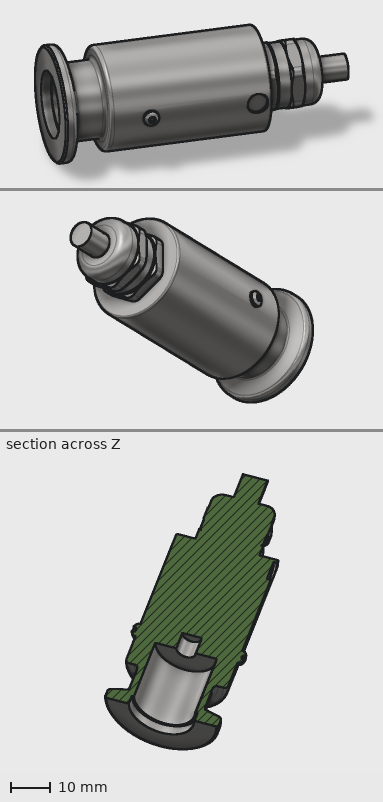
import cadquery as cq
import math


flange_diameter = 30.0
flange_edge_chamfer = 0.5
flange_rim_end = 3.0
flange_back_angle = 15.0
flange_back_fillet = 1.2
neck_root_fillet = 0.5
neck_diameter = 20.0

recess_diameter = 17.2
recess_depth = 2.6
bore_diameter = 16.1
bore_depth = 20.0
inner_hole_diameter = 5.0
inner_hole_depth = 5.0

body_front = 12.0
body_length = 42.0
body_diameter = 27.0
body_front_fillet = 1.0
body_neck_fillet = 1.0
body_rear_fillet = 0.5
body_rear = body_front + body_length

hex_sides = 6
hex_flats = 17.0
hex_corner_fillet = 2.5
hex_chamfer_angle = 30.0
base_hex_length = 3.0
ring_length = 3.5
ring_chamfer = 0.35
cap_hex_length = 3.5
cap_length = 5.2
cap_fillet = 2.9
gland_diameter = 16.7
ring_start = body_rear + base_hex_length
cap_hex_start = ring_start + ring_length
cap_start = cap_hex_start + cap_hex_length
cap_end = cap_start + cap_length

cable_diameter = 6.61
total_length = 76.7

screw_y = 22.5
screw_diameter = 4.0
screw_rim_x = 14.0
screw_tip_x = 14.8
screw_tip_diameter = 1.75
socket_mouth_diameter = 1.45
socket_diameter = 1.15
socket_depth = 0.6
socket_point_depth = 0.3
screw_root_x = 12.0

window_y = 50.3
window_diameter = 5.3
window_floor_x = 12.5


def cylinder(diameter, start, end):
    """Cylinder on the Y axis between two Y positions."""
    plane = cq.Workplane("XZ", origin=(0, start, 0))
    return plane.circle(diameter / 2).extrude(start - end)


def ring_edge(solid, y, radius):
    """Select the circular edge of a turned solid at one Y position and radius."""
    tolerance = 0.01

    def matches(edge):
        same_y = abs(edge.arcCenter().y - y) < tolerance
        same_radius = abs(edge.radius() - radius) < tolerance
        return same_y and same_radius

    return solid.edges("%CIRCLE").filter(matches)


def make_housing():
    """Flange, neck and body turned in one profile, with rounded and chamfered edges."""
    flange_radius = flange_diameter / 2
    neck_radius = neck_diameter / 2
    body_radius = body_diameter / 2
    back_rise = (flange_radius - neck_radius) * math.tan(math.radians(flange_back_angle))
    neck_start = flange_rim_end + back_rise
    housing = (
        cq.Workplane("XY")
        .moveTo(0, 0)
        .lineTo(flange_radius, 0)
        .lineTo(flange_radius, flange_rim_end)
        .lineTo(neck_radius, neck_start)
        .lineTo(neck_radius, body_front)
        .lineTo(body_radius, body_front)
        .lineTo(body_radius, body_rear)
        .lineTo(0, body_rear)
        .close()
        .revolve(360, (0, 0), (0, 1))
    )
    rounded_edges = (
        (flange_rim_end, flange_radius, flange_back_fillet),
        (neck_start, neck_radius, neck_root_fillet),
        (body_front, neck_radius, body_neck_fillet),
        (body_front, body_radius, body_front_fillet),
        (body_rear, body_radius, body_rear_fillet),
    )
    for y, edge_radius, fillet in rounded_edges:
        housing = ring_edge(housing, y, edge_radius).fillet(fillet)
    return ring_edge(housing, 0, flange_radius).chamfer(flange_edge_chamfer)


def chamfer_cone(tip_y, direction):
    """Cone that trims hexagon corners, leaving the mid-flats full at tip_y."""
    tip_radius = hex_flats / 2
    length = cap_hex_length
    slope = 1 / math.tan(math.radians(hex_chamfer_angle))
    base_y = tip_y + direction * length
    return (
        cq.Workplane("XY")
        .moveTo(0, tip_y)
        .lineTo(tip_radius, tip_y)
        .lineTo(tip_radius + length * slope, base_y)
        .lineTo(0, base_y)
        .close()
        .revolve(360, (0, 0), (0, 1))
    )


def make_hexagon(start, length):
    """Hexagon with flats facing +/-X, rounded corners and a rear chamfer."""
    corner_diameter = hex_flats / math.cos(math.pi / hex_sides)
    hexagon = (
        cq.Workplane("XZ", origin=(0, start, 0))
        .transformed(rotate=(0, 0, 360 / hex_sides / 2))
        .polygon(hex_sides, corner_diameter)
        .extrude(-length)
        .edges("|Y")
        .fillet(hex_corner_fillet)
    )
    return hexagon.intersect(chamfer_cone(start + length, -1))


def make_gland():
    """Cable gland: base hexagon, ring, cap hexagon, domed cap and cable."""
    base_hexagon = make_hexagon(body_rear, base_hex_length)
    ring = cylinder(gland_diameter, ring_start, cap_hex_start).faces("<Y").chamfer(ring_chamfer)
    cap_hexagon = make_hexagon(cap_hex_start, cap_hex_length)
    cap_hexagon = cap_hexagon.intersect(chamfer_cone(cap_hex_start, 1))
    cap = cylinder(gland_diameter, cap_start, cap_end).faces(">Y").edges().fillet(cap_fillet)
    cable = cylinder(cable_diameter, cap_end, total_length)
    return base_hexagon.union(ring).union(cap_hexagon).union(cap).union(cable)


def make_bore():
    """Stepped bore entering from the flange face."""
    recess = cylinder(recess_diameter, 0, recess_depth)
    bore = cylinder(bore_diameter, 0, bore_depth)
    inner_hole = cylinder(inner_hole_diameter, bore_depth, bore_depth + inner_hole_depth)
    return recess.union(bore).union(inner_hole)


def make_screw():
    """Domed screw head on the +X side, with a cone-bottomed socket."""
    rim_radius = screw_diameter / 2
    tip_radius = screw_tip_diameter / 2
    mouth_radius = socket_mouth_diameter / 2
    socket_radius = socket_diameter / 2
    mouth_floor_x = screw_tip_x - (mouth_radius - socket_radius)
    socket_floor_x = screw_tip_x - socket_depth
    dome_height = screw_tip_x - screw_rim_x
    dome_mid_x = (screw_rim_x + screw_tip_x) / 2
    centre_x = dome_mid_x - (rim_radius**2 - tip_radius**2) / (2 * dome_height)
    dome_radius = math.hypot(screw_rim_x - centre_x, rim_radius)
    dome_mid_radius = math.sqrt(dome_radius**2 - (dome_mid_x - centre_x) ** 2)
    return (
        cq.Workplane("XY")
        .moveTo(screw_root_x, 0)
        .lineTo(screw_root_x, rim_radius)
        .lineTo(screw_rim_x, rim_radius)
        .threePointArc((dome_mid_x, dome_mid_radius), (screw_tip_x, tip_radius))
        .lineTo(screw_tip_x, mouth_radius)
        .lineTo(mouth_floor_x, socket_radius)
        .lineTo(socket_floor_x, socket_radius)
        .lineTo(socket_floor_x - socket_point_depth, 0)
        .close()
        .revolve(360, (0, 0), (1, 0))
        .translate((0, screw_y, 0))
    )


def make_window():
    """Shallow round recess cut into the +X side near the rear of the body."""
    return (
        cq.Workplane("YZ", origin=(window_floor_x, window_y, 0))
        .circle(window_diameter / 2)
        .extrude(body_diameter / 2)
    )


screw = make_screw()
result = (
    make_housing()
    .union(make_gland())
    .cut(make_bore())
    .cut(make_window())
    .union(screw)
    .union(screw.mirror("YZ"))
)